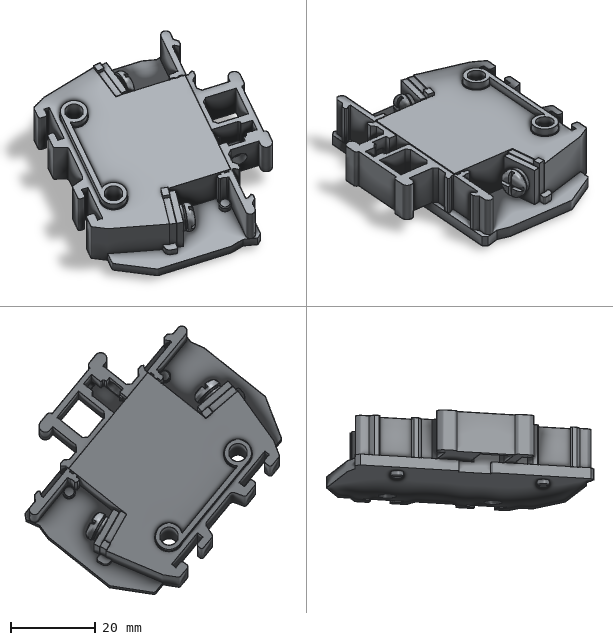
import cadquery as cq
import math

plate_top = 2.65
wall_top = 12.4
body_top = 12.6
rib_top = 14.65
peg_bottom = -1.35
peg_top = 4.2
stub_top = 4.55

half_length = 29.5
plate_back = 39.6
plate_front = 3.5
plate_corner_radius = 0.7
notch_half_width = 4.0
notch_lip_radius = 0.35

body_half_width = 15.0
body_back = 37.15
terminal_tilt = math.radians(10)
shoulder_x = 24.95
shoulder_inner_y = 19.45
shoulder_outer_y = shoulder_inner_y - (shoulder_x - body_half_width) * math.tan(terminal_tilt)
foot_corner_radius = 0.6
foot_root_radius = 1.05

wall_front = 36.0
wall_back = 38.4
wall_lip_back = 39.5
wall_end_radius = (wall_back - wall_front) / 2
wall_end_x = 29.1
wall_groove_floor = 37.45
wall_groove_outer = 24.25
wall_groove_side = 0.6
lip_overhang = 0.7
lip_chamfer = 0.4
outer_step_x = 26.1
inner_step_x = 14.15
step_rise = wall_lip_back - wall_back

tower_half_width = 9.5
tower_back = 48.6
bulb_back = 49.5
bulb_front = 46.5
bulb_radius = (bulb_back - bulb_front) / 2
bulb_end_x = 12.0
bulb_inner_x = 7.15
bulb_inner_radius = bulb_back - tower_back
window_left = -7.1
window_right = 1.05
window_back = 47.15
window_chamfer = 0.95
pocket_left = 2.3
pocket_right = 7.1
pocket_neck_half_width = 1.5
pocket_shoulder_y = 44.4
pocket_shoulder_chamfer = 0.4
pocket_back = 47.3
pocket_floor = 4.7
pocket_bump_radius = 0.5
pocket_bump_y = 38.95
pocket_bump_top = 8.85
trough_length = 1.2
side_hole_z = 7.55
side_slot_depth = 1.2
side_slot_front = 39.35
side_slot_back = 43.5

peg_x = 18.05
peg_y = 34.6
peg_radius = 1.5
peg_chamfer = 0.3
post_x = 16.8
post_front = 33.5
post_chamfer = 0.55
post_groove_width = 0.4
post_groove_length = 1.0
post_groove_backs = (36.6, post_front + post_groove_length)

ring_x = 13.05
ring_y = 8.0
ring_radius = 3.25
ring_hole_radius = 2.2
ring_base_radius = 3.4
ring_base_height = 0.2
bar_front = ring_y - ring_radius
bar_back = 6.1
bar_notch_x = 10.3

terminal_x = 20.55
terminal_y = 21.1
terminal_mid_z = 7.55
clamp_length = 9.6
clamp_thickness = 1.6
clamp_top = 12.3
clamp_gap = 0.15
strip_thickness = 1.75
strip_inner_end = 5.25
strip_outer_end = 4.85
lug_right_end = -2.95
lug_top = 13.45
washer_radius = 3.2
washer_thickness = 0.95
shank_radius = 2.7
head_radius = 3.5
head_base = 2.2
head_dome_start = 3.0
head_top = 4.25
head_flat_radius = 2.1
head_dome_middle = (3.05, 3.85)
head_slot_width = 0.95
head_slot_depth = 1.1


def prism(outline, bottom, top):
    """Upright solid on a closed outline drawn in the XY plane."""
    return outline.extrude(top - bottom).translate((0, 0, bottom))


def polygon(points):
    return cq.Workplane("XY").polyline(points).close()


def block(x0, x1, y0, y1, bottom, top):
    return cq.Workplane("XY").box(x1 - x0, y1 - y0, top - bottom, centered=False).translate((x0, y0, bottom))


def cylinder(x, y, radius, bottom, top):
    return cq.Workplane("XY").circle(radius).extrude(top - bottom).translate((x, y, bottom))


def with_mirror(shape):
    """The shape together with its copy on the other side of the YZ plane."""
    return shape.union(shape.mirror("YZ"))


def mirrored_outline(right_side):
    """Closed point list from the right-hand points, which run from back to front."""
    left_side = [(-x, y) for x, y in reversed(right_side)]
    return right_side + left_side


def round_upright_edges(shape, places, radius):
    """Fillet the upright edges that stand at the given XY places on both sides of the middle."""
    reach = 0.03
    for x, y in places:
        for side in (-1, 1):
            corner = cq.selectors.BoxSelector(
                (side * x - reach, y - reach, -59), (side * x + reach, y + reach, 59)
            )
            shape = shape.edges("|Z").edges(corner).fillet(radius)
    return shape


def base_plate():
    front_corner = (24.0, plate_front)
    side_corner = (half_length, 12.9)
    plate = prism(polygon(mirrored_outline([
        (28.5, plate_back),
        (half_length, 38.45),
        (28.6, 35.1),
        (half_length, 31.7),
        side_corner,
        front_corner,
    ])), 0, plate_top)
    plate = round_upright_edges(plate, [front_corner, side_corner], plate_corner_radius)
    notch = block(-notch_half_width, notch_half_width, wall_back, plate_back + 0.6, 0, plate_top)
    return round_upright_edges(plate.cut(notch), [(notch_half_width, plate_back)], notch_lip_radius)


def body():
    outer_foot = [(18.95, 0), (15.45, 0), (15.45, 2.2)]
    inner_foot = [(10.3, 1.9), (10.3, 0.1), (6.15, 0.1)]
    inner_foot_root = (5.0, plate_front)
    outline = mirrored_outline([
        (body_half_width, body_back),
        (body_half_width, shoulder_inner_y),
        (shoulder_x, shoulder_outer_y),
        (20.95, plate_front),
        *outer_foot,
        (17.65, 2.2),
        (17.65, plate_front),
        (7.85, plate_front),
        (7.85, 1.9),
        *inner_foot,
        inner_foot_root,
    ])
    solid = prism(polygon(outline), 0, body_top)
    solid = round_upright_edges(solid, outer_foot + inner_foot, foot_corner_radius)
    return round_upright_edges(solid, [inner_foot_root], foot_root_radius)


def rear_wall_half():
    """Right-hand half of the rear wall, with the dovetail groove along its back."""
    end_centre_x = wall_end_x - wall_end_radius
    groove_inner = body_half_width
    outer_lip_x = wall_groove_outer - lip_overhang
    inner_lip_x = groove_inner + lip_overhang
    lip_chamfer_y = wall_lip_back - lip_chamfer
    groove_side_y = wall_groove_floor + wall_groove_side
    outline = (
        cq.Workplane("XY")
        .moveTo(0, wall_front)
        .lineTo(end_centre_x, wall_front)
        .threePointArc((wall_end_x, wall_front + wall_end_radius), (end_centre_x, wall_back))
        .lineTo(outer_step_x, wall_back)
        .lineTo(outer_step_x - step_rise, wall_lip_back)
        .lineTo(outer_lip_x + lip_chamfer, wall_lip_back)
        .lineTo(outer_lip_x, lip_chamfer_y)
        .lineTo(wall_groove_outer, groove_side_y)
        .lineTo(wall_groove_outer, wall_groove_floor)
        .lineTo(groove_inner, wall_groove_floor)
        .lineTo(groove_inner, groove_side_y)
        .lineTo(inner_lip_x, lip_chamfer_y)
        .lineTo(inner_lip_x - lip_chamfer, wall_lip_back)
        .lineTo(inner_step_x, wall_lip_back)
        .lineTo(inner_step_x - step_rise, wall_back)
        .lineTo(tower_half_width + window_chamfer, wall_back)
        .lineTo(tower_half_width, wall_back + window_chamfer)
        .lineTo(0, wall_back + window_chamfer)
        .close()
    )
    return prism(outline, plate_top, wall_top)


def tower():
    half = (
        cq.Workplane("XY")
        .moveTo(0, wall_back)
        .lineTo(tower_half_width, wall_back)
        .lineTo(tower_half_width, bulb_front)
        .lineTo(bulb_end_x - bulb_radius, bulb_front)
        .threePointArc((bulb_end_x, bulb_front + bulb_radius), (bulb_end_x - bulb_radius, bulb_back))
        .lineTo(bulb_inner_x + bulb_inner_radius, bulb_back)
        .radiusArc((bulb_inner_x, tower_back), -bulb_inner_radius)
        .lineTo(0, tower_back)
        .close()
    )
    return with_mirror(prism(half, plate_top, wall_top))


def tower_window():
    opening = block(window_left, window_right, wall_back, window_back, plate_top, wall_top)
    return opening.edges("|Z and <Y").chamfer(window_chamfer)


def contact_pocket():
    """Stepped pocket open at the top, with a round trough in its neck, a slot in the side wall and a
    hole of the slot's width through that wall.
    """
    mid_x = (pocket_left + pocket_right) / 2
    neck_left = mid_x - pocket_neck_half_width
    neck_right = mid_x + pocket_neck_half_width
    chamfer_y = pocket_shoulder_y - pocket_shoulder_chamfer
    pocket = prism(polygon([
        (pocket_left, body_back),
        (pocket_right, body_back),
        (pocket_right, chamfer_y),
        (pocket_right - pocket_shoulder_chamfer, pocket_shoulder_y),
        (neck_right, pocket_shoulder_y),
        (neck_right, pocket_back),
        (neck_left, pocket_back),
        (neck_left, pocket_shoulder_y),
        (pocket_left + pocket_shoulder_chamfer, pocket_shoulder_y),
        (pocket_left, chamfer_y),
    ]), pocket_floor, wall_top)
    for x in (pocket_left, pocket_right):
        pocket = pocket.cut(cylinder(x, pocket_bump_y, pocket_bump_radius, pocket_floor, pocket_bump_top))
    trough = (
        cq.Workplane("XZ", origin=(mid_x, pocket_back, pocket_floor))
        .circle(pocket_neck_half_width)
        .extrude(trough_length)
    )
    slot_mid_y = (side_slot_front + side_slot_back) / 2
    slot_radius = (side_slot_back - side_slot_front) / 2
    slot_end_x = pocket_right + side_slot_depth
    slot = block(pocket_right, slot_end_x, side_slot_front, side_slot_back, side_hole_z, wall_top)
    side_hole = (
        cq.Workplane("YZ", origin=(pocket_right, slot_mid_y, side_hole_z))
        .circle(slot_radius)
        .extrude(tower_half_width - pocket_right)
    )
    return pocket.union(trough).union(slot).union(side_hole)


def post():
    """Upright post between wall and body, hollowed around the peg beside it."""
    solid = prism(polygon([
        (body_half_width, wall_front),
        (body_half_width, post_front),
        (post_x - post_chamfer, post_front),
        (post_x, post_front + post_chamfer),
        (post_x, wall_front),
    ]), plate_top, wall_top)
    return solid.cut(cylinder(peg_x, peg_y, peg_radius, plate_top, wall_top))


def post_grooves():
    """Two upright grooves next to the body: one behind the post in the wall, one at the post's front."""
    groove_end_x = body_half_width + post_groove_width
    grooves = cq.Workplane("XY")
    for back in post_groove_backs:
        front = back - post_groove_length
        grooves = grooves.union(block(body_half_width, groove_end_x, front, back, plate_top, wall_top))
    return with_mirror(grooves)


def peg():
    return cylinder(peg_x, peg_y, peg_radius, peg_bottom, peg_top).faces("<Z or >Z").chamfer(peg_chamfer)


def side_stub():
    """Low rounded stub on the base plate at the outer corner of the body."""
    outline = (
        cq.Workplane("XY")
        .moveTo(24.2, 16.15)
        .lineTo(25.35, 16.15)
        .threePointArc((26.25, 16.65), (26.65, 17.7))
        .lineTo(26.85, 18.65)
        .threePointArc((26.65, 19.05), (26.25, 19.25))
        .lineTo(24.2, 19.25)
        .close()
    )
    return prism(outline, plate_top, stub_top)


def ring_bar():
    bar = block(-ring_x, ring_x, bar_front, bar_back, body_top, rib_top)
    web = block(bar_notch_x, ring_x, bar_front, ring_y, body_top, rib_top)
    ring = cylinder(ring_x, ring_y, ring_radius, body_top, rib_top)
    base = cylinder(ring_x, ring_y, ring_base_radius, body_top, body_top + ring_base_height)
    return bar.union(with_mirror(ring.union(base)))


def ring_holes():
    return with_mirror(cylinder(ring_x, ring_y, ring_hole_radius, 0, rib_top))


def screw():
    """Pan-head screw on a washer; its axis is local Y."""
    washer_base = clamp_thickness / 2
    washer_end = washer_base + washer_thickness
    profile = (
        cq.Workplane("XY")
        .moveTo(0, -clamp_thickness)
        .lineTo(shank_radius, -clamp_thickness)
        .lineTo(shank_radius, washer_base)
        .lineTo(washer_radius, washer_base)
        .lineTo(washer_radius, washer_end)
        .lineTo(shank_radius, washer_end)
        .lineTo(shank_radius, head_base)
        .lineTo(head_radius, head_base)
        .lineTo(head_radius, head_dome_start)
        .threePointArc(head_dome_middle, (head_flat_radius, head_top))
        .lineTo(0, head_top)
        .close()
    )
    solid = profile.revolve(360, (0, 0, 0), (0, 1, 0))
    for length, height in ((2 * head_radius, head_slot_width), (head_slot_width, 2 * head_radius)):
        slot = cq.Workplane("XY").box(length, 2 * head_slot_depth, height).translate((0, head_top, 0))
        solid = solid.cut(slot)
    return solid.translate((0, 0, terminal_mid_z))


def terminal(side):
    """Contact strip with a lug at its left end, clamp plate and screw; side is -1 (left) or 1 (right)."""
    clamp_front = -clamp_thickness / 2
    strip_back = clamp_front - clamp_gap
    strip_front = strip_back - strip_thickness
    half_clamp = clamp_length / 2
    strip_left = -strip_outer_end if side < 0 else -strip_inner_end
    strip_right = strip_left + strip_inner_end + strip_outer_end
    parts = block(-half_clamp, half_clamp, clamp_front, -clamp_front, plate_top, clamp_top)
    parts = parts.union(block(strip_left, strip_right, strip_front, strip_back, plate_top, wall_top))
    parts = parts.union(block(strip_left, lug_right_end, strip_front, strip_back, plate_top, lug_top))
    parts = parts.union(screw())
    turn = -side * math.degrees(terminal_tilt)
    return parts.rotate((0, 0, 0), (0, 0, 1), turn).translate((side * terminal_x, terminal_y, 0))


housing = base_plate().union(body()).union(with_mirror(rear_wall_half())).union(tower())
housing = housing.cut(tower_window()).cut(contact_pocket())

side_parts = [post(), peg(), side_stub()]
for part in side_parts:
    housing = housing.union(with_mirror(part))
housing = housing.cut(post_grooves())
for side in (-1, 1):
    housing = housing.union(terminal(side))

result = housing.union(ring_bar()).cut(ring_holes())